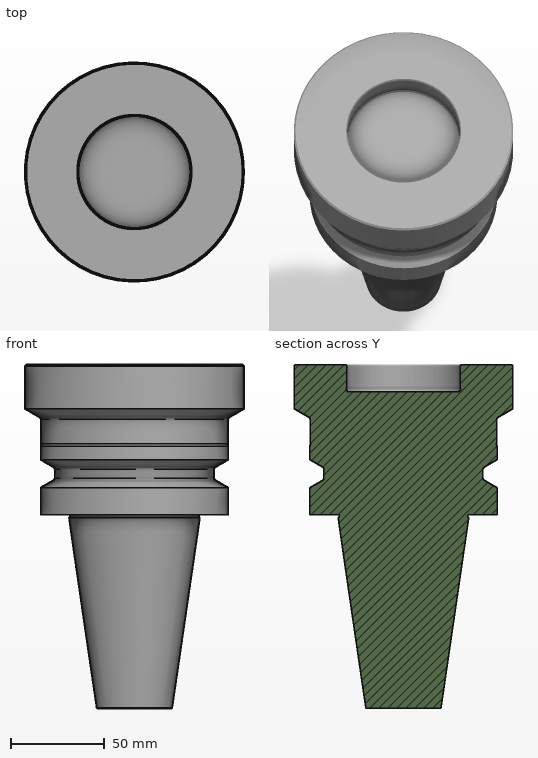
import cadquery as cq
import math

TOTAL_HEIGHT = 183.3
HEAD_RADIUS = 58.5
HEAD_CHAMFER = 1.0
HEAD_BOTTOM_Z = 159.7

COLLAR_RADIUS = 49.9
COLLAR_BOTTOM_Z = 141.1

FLANGE_RADIUS = 50.0
FLANGE_TOP_Z = 139.9
FLANGE_BOTTOM_Z = 103.2
NOTCH_RADIUS = 49.5

GROOVE_RADIUS = 42.5
GROOVE_TOP_Z = 132.5
GROOVE_BOTTOM_Z = 117.7

BEVEL_SLOPE = math.tan(math.radians(30))
CORNER_FILLET = 1.1

TAPER_RATE = 7 / 24
TAPER_TOP_RADIUS = 34.92
TAPER_TOP_Z = 101.5
NECK_RADIUS = 34.5
TIP_CHAMFER = 0.5

BORE_RADIUS = 30.0
BORE_DEPTH = 14.3
LIP_RADIUS = 30.6
LIP_CHAMFER_HEIGHT = 1.0
UNDERCUT_RADIUS = 30.5
UNDERCUT_START_DEPTH = 11.7
UNDERCUT_WIDEST_DEPTH = 13.4
FLOOR_RADIUS = 29.7

COLLAR_TOP_Z = HEAD_BOTTOM_Z - (HEAD_RADIUS - COLLAR_RADIUS) * BEVEL_SLOPE
GROOVE_BEVEL_HEIGHT = (FLANGE_RADIUS - GROOVE_RADIUS) * BEVEL_SLOPE
GROOVE_ROOT_TOP_Z = GROOVE_TOP_Z - GROOVE_BEVEL_HEIGHT
GROOVE_ROOT_BOTTOM_Z = GROOVE_BOTTOM_Z + GROOVE_BEVEL_HEIGHT


def revolve_profile(points):
    """Revolve a closed (radius, z) outline about the Z axis."""
    return cq.Workplane("XZ").polyline(points).close().revolve(360, (0, 0), (0, 1))


def taper_radius(z):
    """Shank radius at height z."""
    return TAPER_TOP_RADIUS - (TAPER_TOP_Z - z) * TAPER_RATE / 2


def make_body():
    """Shank, flange, collar and head with sharp inside corners."""
    neck_step = TAPER_TOP_RADIUS - NECK_RADIUS
    return revolve_profile([
        (0, 0),
        (taper_radius(TIP_CHAMFER) - TIP_CHAMFER, 0),
        (taper_radius(TIP_CHAMFER), TIP_CHAMFER),
        (TAPER_TOP_RADIUS, TAPER_TOP_Z),
        (NECK_RADIUS, TAPER_TOP_Z + neck_step),
        (NECK_RADIUS, FLANGE_BOTTOM_Z),
        (FLANGE_RADIUS, FLANGE_BOTTOM_Z),
        (FLANGE_RADIUS, GROOVE_BOTTOM_Z),
        (GROOVE_RADIUS, GROOVE_ROOT_BOTTOM_Z),
        (GROOVE_RADIUS, GROOVE_ROOT_TOP_Z),
        (FLANGE_RADIUS, GROOVE_TOP_Z),
        (FLANGE_RADIUS, FLANGE_TOP_Z),
        (NOTCH_RADIUS, COLLAR_BOTTOM_Z),
        (COLLAR_RADIUS, COLLAR_BOTTOM_Z),
        (COLLAR_RADIUS, COLLAR_TOP_Z),
        (HEAD_RADIUS, HEAD_BOTTOM_Z),
        (HEAD_RADIUS, TOTAL_HEIGHT - HEAD_CHAMFER),
        (HEAD_RADIUS - HEAD_CHAMFER, TOTAL_HEIGHT),
        (0, TOTAL_HEIGHT),
    ])


def fillet_circle_at(body, z):
    """Fillet the circular edge lying at height z."""
    reach = 2 * HEAD_RADIUS
    half_band = 0.2
    band = cq.selectors.BoxSelector((-reach, -reach, z - half_band), (reach, reach, z + half_band))
    return body.edges("%CIRCLE").edges(band).fillet(CORNER_FILLET)


def make_bore():
    """Volume of the bore, from its floor to its chamfered lip."""
    return revolve_profile([
        (0, TOTAL_HEIGHT - BORE_DEPTH),
        (FLOOR_RADIUS, TOTAL_HEIGHT - BORE_DEPTH),
        (UNDERCUT_RADIUS, TOTAL_HEIGHT - UNDERCUT_WIDEST_DEPTH),
        (BORE_RADIUS, TOTAL_HEIGHT - UNDERCUT_START_DEPTH),
        (BORE_RADIUS, TOTAL_HEIGHT - LIP_CHAMFER_HEIGHT),
        (LIP_RADIUS, TOTAL_HEIGHT),
        (0, TOTAL_HEIGHT),
    ])


body = make_body()
for corner_z in (GROOVE_ROOT_BOTTOM_Z, GROOVE_ROOT_TOP_Z, COLLAR_TOP_Z):
    body = fillet_circle_at(body, corner_z)

result = body.cut(make_bore())